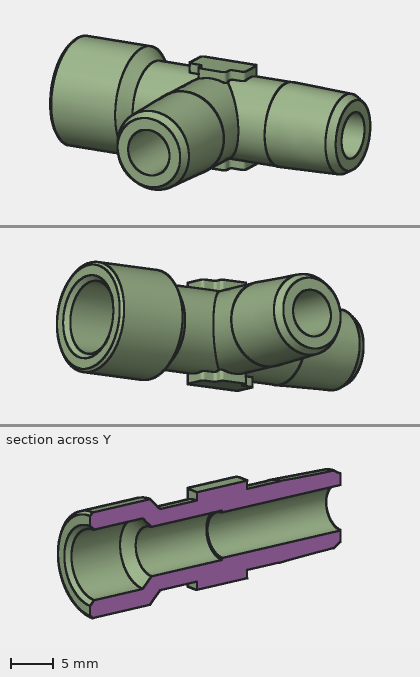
import cadquery as cq

overall_length = 37.0
overall_depth = 24.0
socket_radius = 6.495
body_radius = 5.0

male_reach = overall_depth - socket_radius
thread_start = 8.5
thread_large_radius = 5.05
thread_small_radius = 4.77
male_tip_radius = 4.18
male_chamfer_length = 1.05

socket_end = overall_length - male_reach
socket_length = 8.88
socket_edge_chamfer = 0.37
socket_shoulder_length = socket_radius - body_radius

bore_radius = 5.5 / 2
thread_bore_radius = 8.6 / 2
thread_bore_depth = 7.77
mouth_radius = 4.9
socket_bore_radius = 6.0 / 2

pad_bar_width = 7.47
pad_stem_width = 3.7
pad_back = 1.95
pad_bar_front = -1.22
pad_stem_front = -2.45
pad_half_height = 6.0
pad_corner_radius = 0.37


def revolve_about_x(profile):
    """Revolve (x, radius) points, closed along the X axis."""
    points = [(profile[0][0], 0), *profile, (profile[-1][0], 0)]
    return cq.Workplane("XY").polyline(points).close().revolve(360, (0, 0), (1, 0))


def male_arm():
    """Plain neck and tapered thread envelope, pointing along +X."""
    return revolve_about_x([
        (0, body_radius),
        (thread_start, body_radius),
        (thread_start, thread_large_radius),
        (male_reach - male_chamfer_length, thread_small_radius),
        (male_reach, male_tip_radius),
    ])


def socket_arm():
    """Enlarged female end with a sloping shoulder, pointing along -X."""
    shoulder_start = -socket_end + socket_length
    return revolve_about_x([
        (-socket_end, socket_radius - socket_edge_chamfer),
        (-socket_end + socket_edge_chamfer, socket_radius),
        (shoulder_start, socket_radius),
        (shoulder_start + socket_shoulder_length, body_radius),
        (0, body_radius),
    ])


def socket_cavity():
    """Countersunk thread bore, 45 degree cone and wider bore up to the branch axis."""
    cone_start = -socket_end + thread_bore_depth
    return revolve_about_x([
        (-socket_end, mouth_radius),
        (-socket_end + mouth_radius - thread_bore_radius, thread_bore_radius),
        (cone_start, thread_bore_radius),
        (cone_start + thread_bore_radius - socket_bore_radius, socket_bore_radius),
        (0, socket_bore_radius),
    ])


def junction_pads():
    """T-shaped prism whose ends stand above and below the tube."""
    bar = pad_bar_width / 2
    stem = pad_stem_width / 2
    outline = [
        (-bar, pad_back),
        (bar, pad_back),
        (bar, pad_bar_front),
        (stem, pad_bar_front),
        (stem, pad_stem_front),
        (-stem, pad_stem_front),
        (-stem, pad_bar_front),
        (-bar, pad_bar_front),
    ]
    prism = cq.Workplane("XY").polyline(outline).close().extrude(pad_half_height, both=True)
    return prism.edges("|Z").fillet(pad_corner_radius)


def turn_to_branch(arm):
    """Turn an arm from +X to -Y."""
    return arm.rotate((0, 0, 0), (0, 0, 1), -90)


bore = revolve_about_x([(0, bore_radius), (male_reach, bore_radius)])

result = (
    male_arm()
    .union(socket_arm())
    .union(turn_to_branch(male_arm()))
    .union(junction_pads())
    .cut(bore)
    .cut(turn_to_branch(bore))
    .cut(socket_cavity())
)